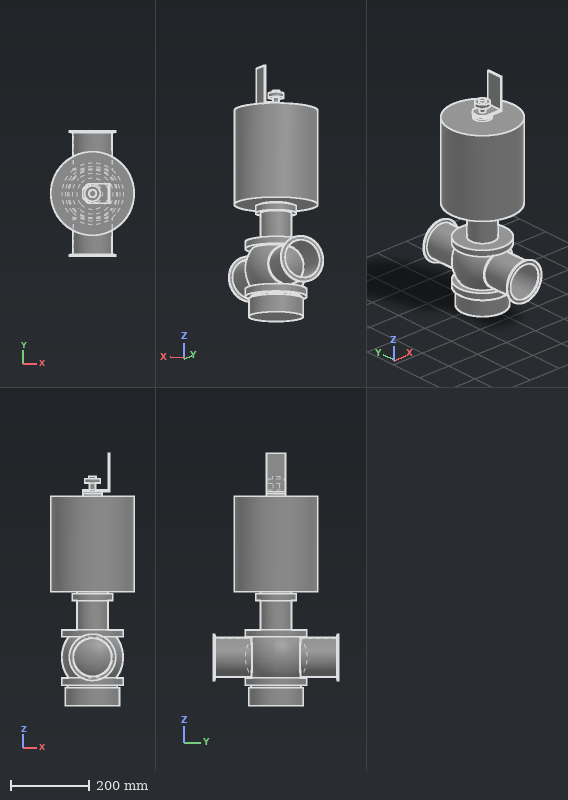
import cadquery as cq

collar_diameter = 139.5
collar_top = 46.5
neck_diameter = 128.0
flange_diameter = 158.0
lower_flange_bottom = 52.5
chamber_bottom = 72.0
chamber_top = 176.5
upper_flange_top = 194.5
chamber_end_diameter = 122.0
port_height = (chamber_bottom + chamber_top) / 2

port_span = 320.0
pipe_diameter = 101.5
bore_diameter = 97.5
ferrule_diameter = 119.0
ferrule_rim = 3.0
ferrule_taper = 1.0

yoke_diameter = 80.0
yoke_ring_diameter = 105.0
yoke_ring_bottom = 269.0
yoke_ring_top = 287.0
actuator_diameter = 214.0
actuator_bottom = 291.5
actuator_top = 536.5

seat_diameter = 50.0
seat_top = 542.5
bracket_bottom = 548.0
bracket_thickness = 4.5
bracket_width = seat_diameter
bracket_right = 44.5
bracket_corner = 13.5
overall_height = 646.5
stem_diameter = 16.0
knob_diameter = 40.0
knob_bottom = 569.5
knob_top = 581.0
cap_diameter = 19.5
cap_top = 587.5


def disc(diameter, bottom, top):
    """Upright cylinder on the Z axis between two heights."""
    return cq.Workplane("XY").workplane(offset=bottom).circle(diameter / 2).extrude(top - bottom)


def make_chamber():
    """Barrel-shaped chamber with a bulging side, revolved about Z."""
    end_radius = chamber_end_diameter / 2
    return (
        cq.Workplane("XZ")
        .moveTo(0, chamber_bottom)
        .lineTo(end_radius, chamber_bottom)
        .threePointArc((flange_diameter / 2, port_height), (end_radius, chamber_top))
        .lineTo(0, chamber_top)
        .close()
        .revolve(360, (0, 0), (0, 1))
    )


def make_port(chamber):
    """Port on the -Y side: a thin pipe with a ferrule, closed off by the chamber wall.

    The pipe starts at the valve axis; only the part outside the chamber is kept.
    """
    half_span = port_span / 2
    pipe_radius = pipe_diameter / 2
    bore_radius = bore_diameter / 2
    ferrule_radius = ferrule_diameter / 2
    rim_back = half_span - ferrule_rim
    taper_end = rim_back - ferrule_taper
    pipe = (
        cq.Workplane("XY")
        .moveTo(bore_radius, 0)
        .lineTo(bore_radius, -half_span)
        .lineTo(ferrule_radius, -half_span)
        .lineTo(ferrule_radius, -rim_back)
        .lineTo(pipe_radius, -taper_end)
        .lineTo(pipe_radius, 0)
        .close()
        .revolve(360, (0, 0), (0, 1))
    )
    return pipe.translate((0, 0, port_height)).cut(chamber)


def make_valve():
    """Collar, chamber, ports, yoke and actuator as one solid."""
    chamber = make_chamber()
    port = make_port(chamber)
    valve = chamber.union(port).union(port.mirror("XZ"))
    for diameter, bottom, top in [
        (collar_diameter, 0, collar_top),
        (neck_diameter, collar_top, lower_flange_bottom),
        (flange_diameter, lower_flange_bottom, chamber_bottom),
        (flange_diameter, chamber_top, upper_flange_top),
        (yoke_diameter, upper_flange_top, actuator_bottom),
        (yoke_ring_diameter, yoke_ring_bottom, yoke_ring_top),
        (actuator_diameter, actuator_bottom, actuator_top),
        (seat_diameter, actuator_top, seat_top),
    ]:
        valve = valve.union(disc(diameter, bottom, top))
    return valve


def make_bracket():
    """L-shaped bracket: a flat foot with two cut corners and an upright plate."""
    foot_left = -seat_diameter / 2
    foot_length = bracket_right - foot_left
    foot = (
        cq.Workplane("XY")
        .box(foot_length, bracket_width, bracket_thickness, centered=(False, True, False))
        .edges("|Z and <X")
        .chamfer(bracket_corner)
        .translate((foot_left, 0, bracket_bottom))
    )
    upright = (
        cq.Workplane("XY")
        .box(bracket_thickness, bracket_width, overall_height - bracket_bottom, centered=(False, True, False))
        .translate((bracket_right - bracket_thickness, 0, bracket_bottom))
    )
    return foot.union(upright)


def make_indicator():
    """Base disc, bracket, stem, knob and cap as one solid resting on the actuator seat."""
    return (
        disc(seat_diameter, seat_top, bracket_bottom)
        .union(make_bracket())
        .union(disc(stem_diameter, bracket_bottom, knob_bottom))
        .union(disc(knob_diameter, knob_bottom, knob_top))
        .union(disc(cap_diameter, knob_top, cap_top))
    )


valve = make_valve()
indicator = make_indicator()
result = cq.Compound.makeCompound([valve.solids().val(), indicator.solids().val()])